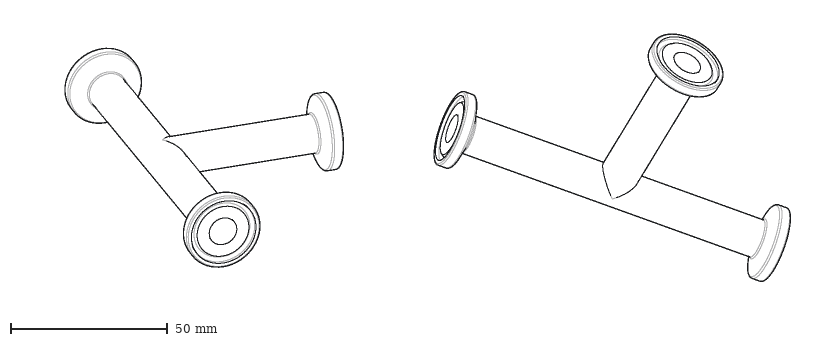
import cadquery as cq
import math

run_length = 114.3
end_reach = run_length / 2

tube_radius = 12.7 / 2
bore_radius = 9.4 / 2

flange_radius = 25.0 / 2
back_start = 3.7
back_angle = math.radians(20.0)
face_edge_round = 0.5
rim_back_round = 0.7
neck_round = 0.6
back_length = (flange_radius - tube_radius) * math.tan(back_angle)
back_end = back_start + back_length

groove_outer_radius = 22.0 / 2
groove_wall_depth = 1.1
land_radius = 8.8
flank_outer_radius = 9.5
flank_angle = math.radians(55.0)

floor_radius = (groove_outer_radius - flank_outer_radius) / (1 + math.sin(flank_angle))
floor_centre_radius = groove_outer_radius - floor_radius
flank_depth = groove_wall_depth + floor_radius * math.cos(flank_angle)
land_recess = flank_depth - (flank_outer_radius - land_radius) * math.tan(flank_angle)

edge_margin = 0.01


def circle_at(radius, height):
    """Selector for the circular edge of this radius around Z at this height."""
    return cq.selectors.BoxSelector(
        (-radius - edge_margin, -radius - edge_margin, height - edge_margin),
        (radius + edge_margin, radius + edge_margin, height + edge_margin),
        boundingbox=True,
    )


def flange_and_tube():
    """Solid arm along +Z from the tee centre, with its flange face at end_reach."""
    face_height = end_reach
    rim_back_height = end_reach - back_start
    neck_height = end_reach - back_end
    tube = cq.Workplane("XY").circle(tube_radius).extrude(end_reach)
    flange = (
        cq.Workplane("XZ")
        .moveTo(0, face_height)
        .lineTo(flange_radius, face_height)
        .lineTo(flange_radius, rim_back_height)
        .lineTo(tube_radius, neck_height)
        .lineTo(0, neck_height)
        .close()
        .revolve(360, (0, 0, 0), (0, 1, 0))
    )
    flange = flange.edges(circle_at(flange_radius, face_height)).fillet(face_edge_round)
    flange = flange.edges(circle_at(flange_radius, rim_back_height)).fillet(rim_back_round)
    arm = tube.union(flange)
    return arm.edges(circle_at(tube_radius, neck_height)).fillet(neck_round)


def face_recess():
    """Cutter for the sealing face: the shallow land, its sloping flank and the gasket groove."""
    wall_end = end_reach - groove_wall_depth
    return (
        cq.Workplane("XZ")
        .moveTo(0, end_reach)
        .lineTo(0, end_reach - land_recess)
        .lineTo(land_radius, end_reach - land_recess)
        .lineTo(flank_outer_radius, end_reach - flank_depth)
        .threePointArc(
            (floor_centre_radius, wall_end - floor_radius),
            (groove_outer_radius, wall_end),
        )
        .lineTo(groove_outer_radius, end_reach)
        .close()
        .revolve(360, (0, 0, 0), (0, 1, 0))
    )


def bore():
    """Through bore of one arm, from the tee centre to its end."""
    return cq.Workplane("XY").circle(bore_radius).extrude(end_reach)


def on_all_arms(shape):
    """Copies of a +Z shape turned onto the two run ends and the branch."""
    origin = (0, 0, 0)
    right = shape.rotate(origin, (0, 1, 0), 90)
    left = shape.rotate(origin, (0, 1, 0), -90)
    branch = shape.rotate(origin, (1, 0, 0), -90)
    return right.union(left).union(branch)


outside = on_all_arms(flange_and_tube().cut(face_recess()))
result = outside.cut(on_all_arms(bore()))